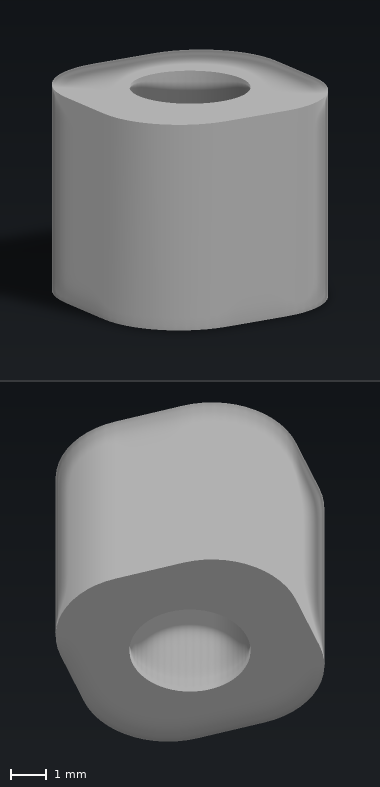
import cadquery as cq

side = 7.0
height = 6.0
corner_radius = 2.5
bore_diameter = 3.4

body = cq.Workplane("XY").rect(side, side).extrude(height)
rounded_body = body.edges("|Z").fillet(corner_radius)

result = rounded_body.faces(">Z").workplane().hole(bore_diameter)